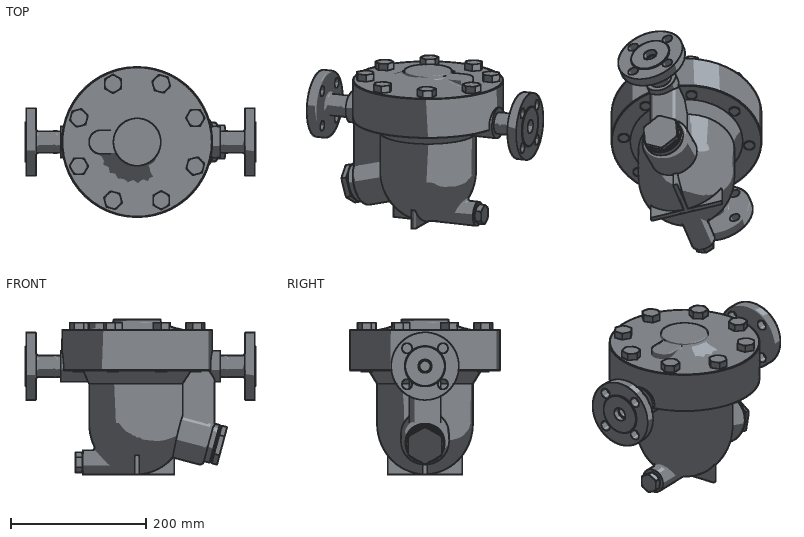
import cadquery as cq
import math


cover_radius = 111.0
cover_top = 54.0
joint_height = 26.5
flange_bottom = -6.5
rim_chamfer = 1.0
cone_top_radius = 83.0
cone_bottom = -25.6
bowl_radius = 71.0
bowl_tangent = -84.0
bowl_depth = 75.5
foot_bottom = -160.0

hub_radius = 35.0
hub_top = 69.0
hub_rounding = 1.5
hub_fillet_start = 66.5
dome_inner_radius = 38.4
dome_inner_height = 62.7
dome_outer_radius = 56.3
dome_outer_height = 56.5
dome_base_radius = 67.4
tongue_radius = 17.5
tongue_reach = 53.5
tongue_top = 64.3
tongue_rounding = 1.5
tongue_foot_fillet = 2.0

bolt_count = 8
bolt_circle_radius = 93.0
bolt_head_width = 24.0
bolt_head_height = 10.3
bolt_tip_diameter = 16.0
bolt_tip_length = 1.7
hex_chamfer = 1.2

inlet_face = -165.0
outlet_face = 175.0
pipe_flange_radius = 50.0
pipe_flange_thickness = 16.0
pipe_flange_rounding = 2.0
raised_face_radius = 29.0
raised_face_height = 1.0
pipe_radius = 16.0
neck_fillet = 3.5
weld_start = 40.5
weld_end = 47.5
weld_bulge = 0.5
pipe_end = 65.0
boss_radius = 23.0
inlet_boss_length = 113.0
outlet_boss_length = 123.0
socket_diameter = 20.0
socket_depth = 10.0
bore_diameter = 16.0
flange_hole_diameter = 15.0
flange_hole_circle = 75.0
flange_hole_count = 4

passage_end = 114.3
passage_rounding = 13.3
passage_floor = 20.0
plug_tilt = 15.0
plug_boss_radius = 35.5
plug_boss_end = 109.8
plug_boss_rounding = 6.0
passage_fillet = 7.0
plug_flange_radius = 29.0
plug_flange_end = 119.8
plug_flange_chamfer = 1.5
plug_neck_radius = 49.5 / 2
plug_neck_end = 121.8
plug_head_width = 50.0
plug_head_end = 130.0

drain_radius = 18.0
drain_end = -80.0
drain_fillet = 4.0
drain_neck_radius = 13.0
drain_neck_end = -81.2
drain_head_width = 26.0
drain_head_end = -91.2

foot_reach = 55.0
foot_thickness = 6.5
foot_rounding = 1.0


def rod(radius, x_start, x_end, z=0.0):
    """Cylinder along X between two stations."""
    return cq.Workplane("YZ", origin=(x_start, 0, z)).circle(radius).extrude(x_end - x_start)


def hex_head(width, height, chamfer):
    """Hexagon along +Z with a corner on X and its outer corners turned off."""
    corner_diameter = width / math.cos(math.radians(30))
    prism = cq.Workplane("XY").polygon(6, corner_diameter).extrude(height)
    turned = cq.Workplane("XY").circle(corner_diameter / 2).extrude(height)
    turned = turned.faces(">Z").edges().chamfer(chamfer / 2, chamfer)
    return prism.intersect(turned)


def make_vessel():
    """Body, conical shoulder and elliptical bowl as one solid of revolution."""
    upper = (
        cq.Workplane("XZ")
        .moveTo(0, bowl_tangent)
        .lineTo(bowl_radius, bowl_tangent)
        .lineTo(bowl_radius, cone_bottom)
        .lineTo(cone_top_radius, flange_bottom)
        .lineTo(cover_radius - rim_chamfer, flange_bottom)
        .lineTo(cover_radius, flange_bottom + rim_chamfer)
        .lineTo(cover_radius, joint_height)
        .lineTo(0, joint_height)
        .close()
        .revolve(360, (0, 0, 0), (0, 1, 0))
    )
    bowl = (
        cq.Workplane("XZ", origin=(0, 0, bowl_tangent))
        .ellipseArc(bowl_radius, bowl_depth, -90, 0, startAtCurrent=False)
        .lineTo(0, 0)
        .lineTo(0, -bowl_depth)
        .close()
        .revolve(360, (0, 0, 0), (0, 1, 0))
    )
    return upper.union(bowl)


def make_cover():
    """Cover disc with its shallow dome, round hub and side tongue."""
    disc = (
        cq.Workplane("XY", origin=(0, 0, joint_height))
        .circle(cover_radius)
        .extrude(cover_top - joint_height)
        .faces(">Z").edges().chamfer(rim_chamfer)
    )
    slope = (dome_inner_height - dome_outer_height) / (dome_inner_radius - dome_outer_radius)
    dome = (
        cq.Workplane("XZ")
        .moveTo(0, joint_height)
        .lineTo(dome_base_radius, joint_height)
        .lineTo(dome_base_radius, cover_top)
        .spline([(dome_outer_radius, dome_outer_height)], tangents=[(-1, 0), (-1, -slope)],
                includeCurrent=True)
        .lineTo(dome_inner_radius, dome_inner_height)
        .spline([(hub_radius, hub_fillet_start)], tangents=[(-1, -slope), (0, 1)],
                includeCurrent=True)
        .lineTo(hub_radius, hub_top - hub_rounding)
        .radiusArc((hub_radius - hub_rounding, hub_top), -hub_rounding)
        .lineTo(0, hub_top)
        .close()
        .revolve(360, (0, 0, 0), (0, 1, 0))
    )
    tongue = (
        cq.Workplane("XY", origin=(0, 0, joint_height))
        .moveTo(0, tongue_radius)
        .lineTo(-tongue_reach, tongue_radius)
        .radiusArc((-tongue_reach, -tongue_radius), -tongue_radius)
        .lineTo(0, -tongue_radius)
        .close()
        .extrude(tongue_top - joint_height)
        .faces(">Z").edges("not(>X)").fillet(tongue_rounding)
    )
    cover = disc.union(dome).union(tongue)
    tongue_foot = cq.selectors.BoxSelector(
        (-tongue_reach - 2 * tongue_radius, -2 * tongue_radius, joint_height),
        (-hub_radius, 2 * tongue_radius, dome_inner_height - tongue_rounding),
    )
    return cover.edges("not |Z").edges(tongue_foot).fillet(tongue_foot_fillet)


def make_cover_bolts():
    """Ring of bolt heads on the cover with the bolt tips showing below the flange."""
    head = hex_head(bolt_head_width, bolt_head_height, hex_chamfer)
    head = head.translate((bolt_circle_radius, 0, cover_top))
    tip = (
        cq.Workplane("XY", origin=(bolt_circle_radius, 0, flange_bottom))
        .circle(bolt_tip_diameter / 2)
        .extrude(-bolt_tip_length)
    )
    pitch = 360 / bolt_count
    first_angle = pitch / 2
    head = head.rotate((bolt_circle_radius, 0, 0), (bolt_circle_radius, 0, 1), -first_angle)
    bolts = cq.Workplane("XY")
    for index in range(bolt_count):
        angle = first_angle + index * pitch
        bolts = bolts.add(head.rotate((0, 0, 0), (0, 0, 1), angle))
        bolts = bolts.add(tip.rotate((0, 0, 0), (0, 0, 1), angle))
    return bolts.vals()


def make_pipe_flange():
    """Flanged pipe stub whose sealing face is at X = 0 and which runs along +X."""
    shoulder = pipe_flange_thickness + neck_fillet
    weld_middle = (weld_start + weld_end) / 2
    rounded_radius = pipe_flange_radius - pipe_flange_rounding
    stub = (
        cq.Workplane("XY")
        .moveTo(0, 0)
        .lineTo(0, raised_face_radius)
        .lineTo(raised_face_height, raised_face_radius + raised_face_height)
        .lineTo(raised_face_height, pipe_flange_radius)
        .lineTo(pipe_flange_thickness - pipe_flange_rounding, pipe_flange_radius)
        .radiusArc((pipe_flange_thickness, rounded_radius), pipe_flange_rounding)
        .lineTo(pipe_flange_thickness, pipe_radius + neck_fillet)
        .radiusArc((shoulder, pipe_radius), -neck_fillet)
        .lineTo(weld_start, pipe_radius)
        .threePointArc((weld_middle, pipe_radius + weld_bulge), (weld_end, pipe_radius))
        .lineTo(pipe_end, pipe_radius)
        .lineTo(pipe_end, 0)
        .close()
        .revolve(360, (0, 0, 0), (1, 0, 0))
    )
    first_hole_angle = 180 / flange_hole_count
    holes = (
        cq.Workplane("YZ")
        .polarArray(flange_hole_circle / 2, first_hole_angle, 360, flange_hole_count)
        .circle(flange_hole_diameter / 2)
        .extrude(pipe_flange_thickness)
    )
    return stub.cut(holes)


def make_bore(length):
    """Socket and narrower bore entering from X = 0."""
    return rod(socket_diameter / 2, 0, socket_depth).union(rod(bore_diameter / 2, 0, length))


def tilt_plug(shape):
    """Turn a shape built along X onto the tilted plug axis."""
    return shape.rotate((0, 0, 0), (0, 1, 0), plug_tilt).translate((0, 0, bowl_tangent))


def make_plug_housing():
    """Round-ended outlet passage running down into the tilted plug boss."""
    passage = (
        cq.Workplane("XY", origin=(0, 0, flange_bottom))
        .rect(2 * passage_end, 2 * boss_radius)
        .extrude(bowl_tangent - bowl_depth - flange_bottom)
        .edges("|Z and >X").fillet(passage_rounding)
    )
    block_size = 4 * passage_end
    above_floor = tilt_plug(
        cq.Workplane("XY")
        .box(block_size, block_size, block_size, centered=(True, True, False))
        .translate((0, 0, passage_floor))
    )
    outlet_side = cq.Workplane("XY").box(
        2 * passage_end, 2 * cover_radius, 4 * cover_radius, centered=(False, True, True)
    )
    passage = passage.intersect(above_floor).intersect(outlet_side)
    boss = rod(plug_boss_radius, 0, plug_boss_end).faces(">X").edges().fillet(plug_boss_rounding)
    housing = passage.union(tilt_plug(boss))
    tilt = math.radians(plug_tilt)
    axis = cq.Vector(math.cos(tilt), 0, -math.sin(tilt))
    tilted = cq.selectors.ParallelDirSelector(axis)
    width_reach = 2 * boss_radius
    mid_passage = cq.selectors.BoxSelector(
        (passage_end / 4, -width_reach, bowl_tangent),
        (passage_end, width_reach, flange_bottom),
    )
    return housing.edges(tilted).edges(mid_passage).fillet(passage_fillet)


def make_valve_plug():
    """Flanged hexagon plug closing the tilted boss."""
    flange = rod(plug_flange_radius, 0, plug_flange_end).faces(">X").edges().chamfer(plug_flange_chamfer)
    neck = rod(plug_neck_radius, 0, plug_neck_end)
    head = hex_head(plug_head_width, plug_head_end - plug_neck_end, hex_chamfer)
    head = head.rotate((0, 0, 0), (0, 1, 0), 90).translate((plug_neck_end, 0, 0))
    return tilt_plug(flange.union(neck).union(head))


def add_drain_boss(body):
    """Join the horizontal drain boss to the bowl with a fillet."""
    axis_height = foot_bottom + drain_radius
    joined = body.union(rod(drain_radius, drain_end, 0, axis_height))
    seam = cq.selectors.BoxSelector(
        (-bowl_radius + drain_radius / 2, -drain_radius, foot_bottom + 1),
        (-drain_radius / 2, drain_radius, axis_height + drain_radius),
    )
    return joined.edges("not |X").edges(seam).fillet(drain_fillet)


def make_drain_plug():
    """Hexagon plug on the end of the drain boss."""
    axis_height = foot_bottom + drain_radius
    neck = rod(drain_neck_radius, drain_end, drain_neck_end, axis_height)
    head = hex_head(drain_head_width, drain_neck_end - drain_head_end, hex_chamfer)
    head = head.rotate((0, 0, 0), (0, 1, 0), -90).translate((drain_neck_end, 0, axis_height))
    return neck.union(head)


def make_foot(length_x, length_y):
    """Upright plate standing on the lowest level and reaching into the bowl."""
    height = bowl_tangent - bowl_depth / 2 - foot_bottom
    return (
        cq.Workplane("XY", origin=(0, 0, foot_bottom))
        .box(length_x, length_y, height, centered=(True, True, False))
        .edges("not #Z or <Z").fillet(foot_rounding)
    )


result = add_drain_boss(make_vessel())
result = result.union(make_plug_housing())
result = result.union(make_foot(foot_thickness, 2 * foot_reach))
result = result.union(make_foot(foot_reach, foot_thickness).translate((foot_reach / 2, 0, 0)))
result = result.union(rod(boss_radius, -inlet_boss_length, outlet_boss_length))
result = result.union(make_cover())
for bolt in make_cover_bolts():
    result = result.union(cq.Workplane(bolt))
stub = make_pipe_flange()
result = result.union(stub.translate((inlet_face, 0, 0)))
result = result.union(stub.mirror("YZ").translate((outlet_face, 0, 0)))
result = result.union(make_valve_plug()).union(make_drain_plug())
inlet_bore = make_bore(pipe_end).translate((inlet_face, 0, 0))
outlet_bore = make_bore(pipe_end).mirror("YZ").translate((outlet_face, 0, 0))
result = result.cut(inlet_bore).cut(outlet_bore)